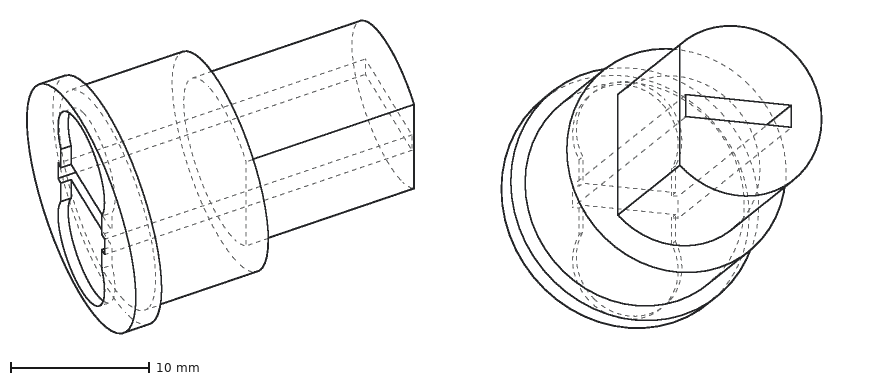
import cadquery as cq

total_length = 24.4
flange_diameter = 19.0
flange_length = 2.05
collar_diameter = 16.8
collar_end = 11.03
shaft_diameter = 12.79
shaft_flat_x = 4.5

lobe_diameter = 8.1
lobe_offset = 4.78
waist_width = 7.1
recess_depth = 0.8
slot_height = 1.65


def face_plane(y):
    """Work plane at distance y along the axis, with its normal toward +Y."""
    return cq.Workplane(cq.Plane(origin=(0, y, 0), xDir=(1, 0, 0), normal=(0, 1, 0)))


def make_body():
    """Round flange and collar, followed by a shaft with one flat side."""
    flange = face_plane(0).circle(flange_diameter / 2).extrude(flange_length)
    collar = face_plane(flange_length).circle(collar_diameter / 2).extrude(collar_end - flange_length)
    shaft_length = total_length - collar_end
    shaft_radius = shaft_diameter / 2
    shaft = face_plane(collar_end).circle(shaft_radius).extrude(shaft_length)
    beyond_flat = (
        face_plane(collar_end)
        .center(shaft_flat_x + shaft_radius, 0)
        .rect(2 * shaft_radius, 2 * shaft_radius)
        .extrude(shaft_length)
    )
    shaft = shaft.cut(beyond_flat)
    return flange.union(collar).union(shaft)


def make_recess():
    """Two round lobes joined by a narrower straight waist."""
    lobes = face_plane(0).pushPoints([(0, lobe_offset), (0, -lobe_offset)])
    lobes = lobes.circle(lobe_diameter / 2).extrude(recess_depth)
    waist = face_plane(0).rect(waist_width, 2 * lobe_offset).extrude(recess_depth)
    return lobes.union(waist)


def make_slot():
    """Flat slot, as wide as the lobes, through the full length."""
    return face_plane(0).rect(lobe_diameter, slot_height).extrude(total_length)


result = make_body().cut(make_recess()).cut(make_slot())